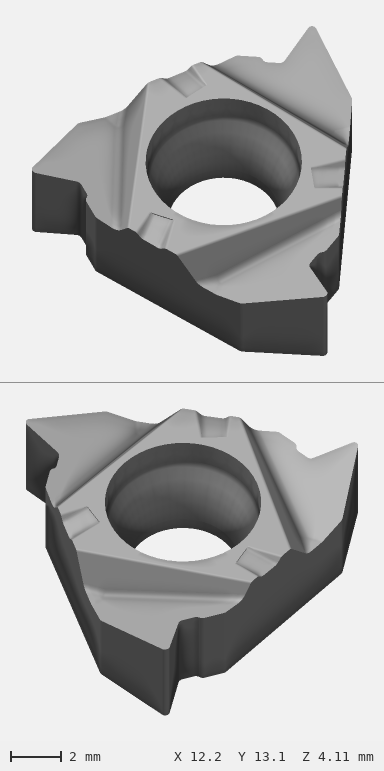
import cadquery as cq
import math


height = 4.11
flat_distance = 4.75
tooth_count = 3
tooth_pitch = 360 / tooth_count
blank_radius = 9.14
far = 39.15

shoulder_y = -4.06
apex = (-2.96, -7.09)
crest_start = (-1.92, -5.34)
step_top = (-1.2, -5.34)
step_foot = (-1.03, -5.53)
shoulder_radius = 0.33
tip_radius = 0.18
crest_radius = 0.23

rake_angle = 15
rake_tip = (apex[0], -6.89, 3.97)
wall_angle = 54.5
wall_direction = -32
wall_top = (-flat_distance, -1.02, height)
floor_angle = 5
floor_edge = (-flat_distance, -2.61, 2.9)
valley_radius = 0.35
land_edge_radius = 0.15

notch_y = 0.23
notch_depth = 0.23
notch_heading = 12.5
notch_rise = 8
notch_length = 1.27
notch_half_width = 0.42
notch_wall_angle = 42
notch_overhang = 0.65
notch_floor_radius = 0.27
notch_rim_radius = 0.17

bore_radius = 4.4 / 2
mouth_radius = 3.07
mouth_depth = 1.02
mouth_foot_radius = 2.99
seat_depth = 1.28
seat_end_depth = 3.58
seat_radius = 2.9


def turned(point, angle):
    """Point turned about the Z axis."""
    c = math.cos(math.radians(angle))
    s = math.sin(math.radians(angle))
    return (c * point[0] - s * point[1], s * point[0] + c * point[1])


def around(solid):
    """Copies of a solid for every tooth."""
    return [solid.rotate((0, 0, 0), (0, 0, 1), i * tooth_pitch) for i in range(tooth_count)]


def half_space(origin, normal):
    """Large block that lies on the normal's side of a plane."""
    return cq.Workplane(cq.Plane(origin=origin, normal=normal)).rect(far, far).extrude(far)


def make_outline_prism():
    """Toothed outline extruded to full height, with rounded corners."""
    step_angle = math.radians(90 - tooth_pitch / 2)
    step_end_x = (flat_distance + step_foot[1] * math.cos(step_angle)) / math.sin(step_angle)
    corners = [
        ((-flat_distance, shoulder_y), shoulder_radius),
        (apex, tip_radius),
        (crest_start, crest_radius),
        (step_top, crest_radius),
        (step_foot, crest_radius),
        ((step_end_x, step_foot[1]), crest_radius),
    ]
    all_corners = []
    for i in range(tooth_count):
        all_corners += [(turned(point, i * tooth_pitch), radius) for point, radius in corners]
    prism = cq.Workplane("XY").polyline([point for point, _ in all_corners]).close().extrude(height)
    for (x, y), radius in all_corners:
        corner_edge = cq.selectors.NearestToPointSelector((x, y, height / 2))
        prism = prism.edges("|Z").edges(corner_edge).fillet(radius)
    return prism


def make_chip_breaker():
    """Everything above the rake face, the wall and the floor of one tooth."""
    rake = math.radians(rake_angle)
    wall = math.radians(wall_angle)
    outward = math.radians(wall_direction - 90)
    floor = math.radians(floor_angle)
    wall_normal = (
        math.sin(wall) * math.cos(outward),
        math.sin(wall) * math.sin(outward),
        math.cos(wall),
    )
    cutter = half_space(rake_tip, (0, math.sin(rake), math.cos(rake)))
    cutter = cutter.intersect(half_space(wall_top, wall_normal))
    cutter = cutter.intersect(half_space(floor_edge, (math.sin(floor), 0, math.cos(floor))))
    return cutter.vertices("<Z").ancestors("Edge").fillet(valley_radius)


def make_notch():
    """Trapezoidal groove that climbs toward the hole, and the fillets along its floor."""
    heading = math.radians(notch_heading)
    rise = math.radians(notch_rise)
    axis = (
        math.cos(rise) * math.cos(heading),
        math.cos(rise) * math.sin(heading),
        math.sin(rise),
    )
    across = (-math.sin(heading), math.cos(heading), 0)
    mouth = (-flat_distance, notch_y, height - notch_depth)
    mouth_to_middle = (notch_length - notch_overhang) / 2
    floor_middle = (cq.Vector(*mouth) + cq.Vector(*axis) * mouth_to_middle).toTuple()
    top = 2 * notch_depth
    top_half_width = notch_half_width + top / math.tan(math.radians(notch_wall_angle))
    groove = (
        cq.Workplane(cq.Plane(origin=mouth, xDir=across, normal=axis))
        .workplane(offset=-notch_overhang)
        .polyline([
            (-notch_half_width, 0),
            (notch_half_width, 0),
            (top_half_width, top),
            (-top_half_width, top),
        ])
        .close()
        .extrude(notch_overhang + notch_length)
    )
    rounded_groove = (
        groove.faces(cq.selectors.NearestToPointSelector(floor_middle))
        .edges(cq.selectors.ParallelDirSelector(cq.Vector(*axis)))
        .fillet(notch_floor_radius)
    )
    return groove, groove.cut(rounded_groove)


def is_notch_side(edge):
    """True for a rim edge whose middle lies about halfway along the notch."""
    middle = edge.Center()
    reach = math.hypot(middle.x, middle.y)
    return abs(reach - (flat_distance - notch_length / 2)) < notch_length / 4


def make_hole():
    """Revolved screw hole."""
    seat_drop = seat_end_depth - seat_depth
    seat_step = seat_radius - bore_radius
    arc_radius = (seat_drop ** 2 + seat_step ** 2) / (2 * seat_step)
    half_sweep = math.asin(seat_drop / arc_radius) / 2
    seat_middle = (
        bore_radius + arc_radius * (1 - math.cos(half_sweep)),
        height - seat_end_depth + arc_radius * math.sin(half_sweep),
    )
    return (
        cq.Workplane("XZ")
        .moveTo(0, height)
        .lineTo(mouth_radius, height)
        .lineTo(mouth_foot_radius, height - mouth_depth)
        .tangentArcPoint((seat_radius, height - seat_depth), relative=False)
        .threePointArc(seat_middle, (bore_radius, height - seat_end_depth))
        .lineTo(bore_radius, 0)
        .lineTo(0, 0)
        .close()
        .revolve(360, (0, 0, 0), (0, 1, 0))
    )


land = cq.Workplane("XY").circle(blank_radius).extrude(height)
for chip_breaker in around(make_chip_breaker()):
    land = land.cut(chip_breaker)
land = land.faces(">Z").edges("%LINE").fillet(land_edge_radius)
body = make_outline_prism().intersect(land)

groove, floor_fillets = make_notch()
result = body
for one_groove in around(groove):
    result = result.cut(one_groove)
result = result.faces(">Z").edges("%LINE").filter(is_notch_side).fillet(notch_rim_radius)
for one_fill in around(floor_fillets):
    result = result.union(one_fill.intersect(body))

result = result.cut(make_hole())